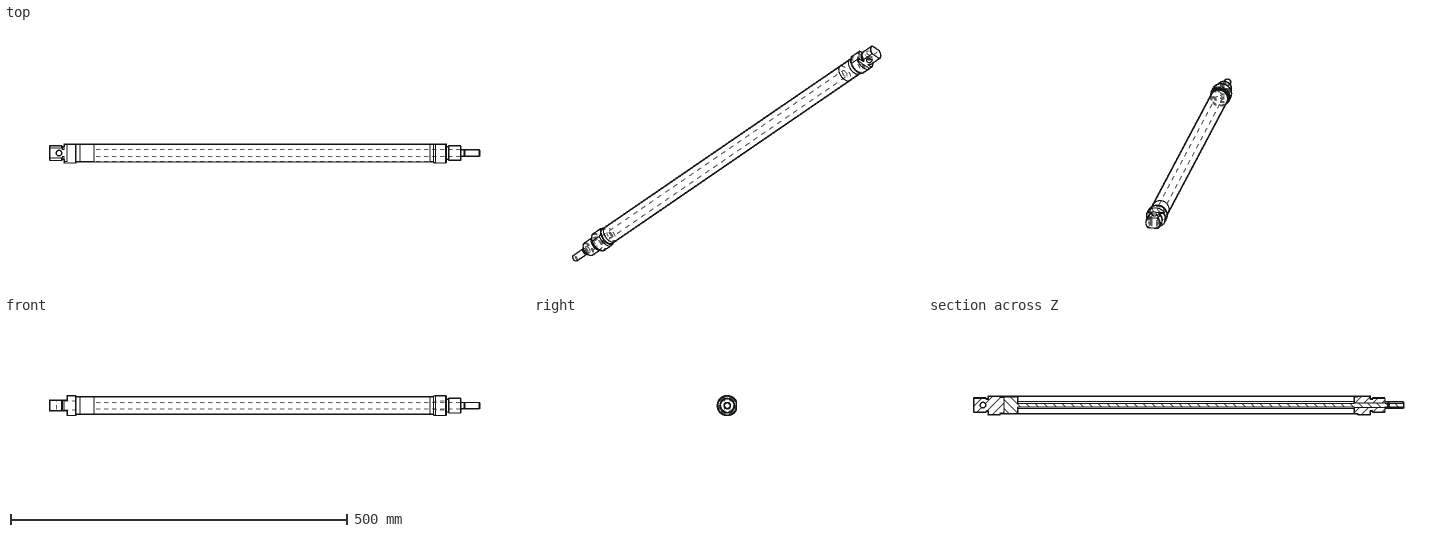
import cadquery as cq


total_length = 640.0
stroke = 500.0
rod_thread_length = 22.0
rod_extension = 28.0
nose_length = 22.0
rod_shoulder_x = total_length - rod_thread_length
front_face_x = rod_shoulder_x - rod_extension
nose_end_x = front_face_x + nose_length

cap_diameter = 30.0
cap_flat_y = 13.5
tube_diameter = 26.5
tube_bore = 25.0
mount_diameter = 22.0
rod_diameter = 10.0

eye_length = 19.4
eye_thickness = 16.0
eye_flats_end_x = 26.0
eye_hole_diameter = 8.0
eye_hole_x = 14.0
eye_chamfer = 0.5
eye_undercut_chamfer = 1.5
rear_flange_start_x = 21.5

tube_start_x = 39.5
tube_end_x = 570.7
rear_spigot_end_x = 45.5
front_spigot_start_x = 566.0

flange_lead_length = 3.0
nose_undercut_width = 3.0
nose_chamfer = 1.0

flange_chamfer = 1.0
undercut_diameter = 19.0

rod_groove_diameter = 8.0
rod_groove_width = 2.0
rod_chamfer = 1.0
piston_rear_x = rear_spigot_end_x
piston_front_x = front_spigot_start_x - stroke


def cylinder(start_x, end_x, diameter):
    """Solid cylinder on the X axis."""
    return cq.Workplane("YZ", origin=(start_x, 0, 0)).circle(diameter / 2).extrude(end_x - start_x)


def cut_side_flat(flange):
    """Cut the flat on the +Y side of a cap flange."""
    waste = cq.Workplane("XY").box(
        total_length, cap_diameter, cap_diameter, centered=(False, False, True)
    )
    return flange.cut(waste.translate((0, cap_flat_y, 0)))


def make_rear_cap():
    flange = cylinder(rear_flange_start_x, tube_start_x, cap_diameter)
    flange = cut_side_flat(flange.faces(">X").chamfer(flange_chamfer))
    cap = (
        cylinder(0, eye_length, mount_diameter)
        .faces("<X")
        .chamfer(eye_chamfer)
        .faces(">X")
        .chamfer(eye_undercut_chamfer)
        .union(cylinder(eye_length, rear_flange_start_x, undercut_diameter))
        .union(flange)
        .union(cylinder(tube_start_x, rear_spigot_end_x, tube_bore))
    )

    for side in (1, -1):
        waste = cq.Workplane("XY").box(
            eye_flats_end_x, cap_diameter, cap_diameter, centered=(False, True, True)
        )
        cap = cap.cut(waste.translate((0, 0, side * (eye_thickness + cap_diameter) / 2)))

    pivot_hole = (
        cq.Workplane("XY")
        .center(eye_hole_x, 0)
        .circle(eye_hole_diameter / 2)
        .extrude(eye_thickness, both=True)
    )
    return cap.cut(pivot_hole)


def make_tube():
    outside = cylinder(tube_start_x, tube_end_x, tube_diameter)
    return outside.cut(cylinder(tube_start_x, tube_end_x, tube_bore))


def make_front_cap():
    flange = (
        cylinder(tube_end_x, front_face_x, cap_diameter)
        .faces(">X")
        .chamfer(flange_chamfer)
        .faces("<X")
        .chamfer(flange_lead_length, flange_chamfer)
    )
    flange = cut_side_flat(flange)
    nose_start_x = front_face_x + nose_undercut_width
    cap = (
        cylinder(nose_start_x, nose_end_x, mount_diameter)
        .edges()
        .chamfer(nose_chamfer)
        .union(cylinder(front_face_x, nose_start_x, undercut_diameter))
        .union(flange)
        .union(cylinder(front_spigot_start_x, tube_end_x, tube_bore))
    )
    return cap.cut(cylinder(front_spigot_start_x, nose_end_x, rod_diameter))


def make_piston_rod():
    groove_start_x = rod_shoulder_x - rod_groove_width
    thread = cylinder(rod_shoulder_x, total_length, rod_diameter).faces(">X").chamfer(rod_chamfer)
    return (
        cylinder(piston_rear_x, piston_front_x, tube_bore)
        .union(cylinder(piston_front_x, groove_start_x, rod_diameter))
        .union(cylinder(groove_start_x, rod_shoulder_x, rod_groove_diameter))
        .union(thread)
    )


rear_cap = make_rear_cap()
tube = make_tube()
front_cap = make_front_cap()
piston_rod = make_piston_rod()

result = cq.Compound.makeCompound(
    [rear_cap.val(), tube.val(), front_cap.val(), piston_rod.val()]
)